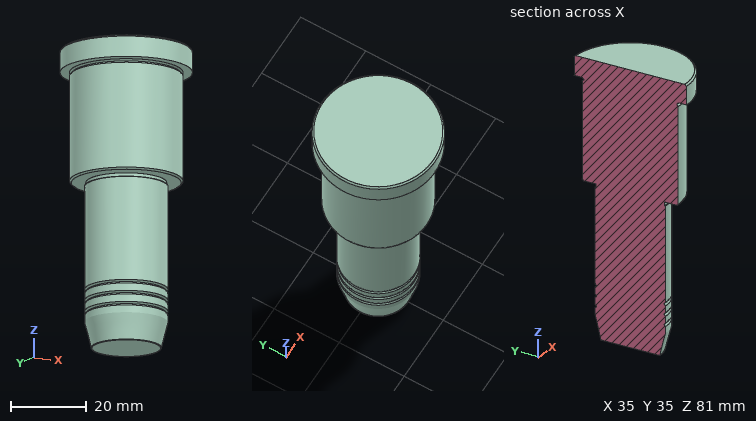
import cadquery as cq

total_height = 81.0
head_height = 6.0
barrel_bottom = 45.0
taper_height = 7.0

head_radius = 35.0 / 2
barrel_radius = 30.0 / 2
shank_radius = 22.0 / 2
tip_radius = 18.5 / 2

head_chamfer = 0.5
barrel_chamfer = 0.5
tip_chamfer = 0.2
relief_width = 1.0
relief_depth = 0.5
neck_width = 1.0
neck_depth = 0.3

groove_width = 1.0
groove_depth = 0.5
groove_pitch = 3.0
groove_count = 3
lowest_groove_center = 9.5

head_bottom = total_height - head_height


def cylinder(radius, bottom, top):
    return cq.Workplane("XY").workplane(offset=bottom).circle(radius).extrude(top - bottom)


def v_ring(radius, center_z, width, depth):
    """Triangular ring that cuts a V-groove into a cylinder of the given radius."""
    return (
        cq.Workplane("XZ")
        .moveTo(radius, center_z - width / 2)
        .lineTo(radius - depth, center_z)
        .lineTo(radius, center_z + width / 2)
        .close()
        .revolve(360, (0, 0, 0), (0, 1, 0))
    )


head = cylinder(head_radius, head_bottom, total_height).faces(">Z").chamfer(head_chamfer)

barrel = cylinder(barrel_radius, barrel_bottom, head_bottom).faces("<Z").chamfer(barrel_chamfer)
barrel = barrel.cut(v_ring(barrel_radius, head_bottom - relief_width / 2, relief_width, relief_depth))

neck_bottom = barrel_bottom - neck_width
neck = cylinder(shank_radius - neck_depth, neck_bottom, barrel_bottom)
shank = cylinder(shank_radius, taper_height, neck_bottom)
for index in range(groove_count):
    groove_center = lowest_groove_center + index * groove_pitch
    shank = shank.cut(v_ring(shank_radius, groove_center, groove_width, groove_depth))

tip = (
    cq.Workplane("XY")
    .circle(tip_radius)
    .workplane(offset=taper_height)
    .circle(shank_radius)
    .loft(ruled=True)
    .faces("<Z")
    .chamfer(tip_chamfer)
)

result = head.union(barrel).union(neck).union(shank).union(tip)